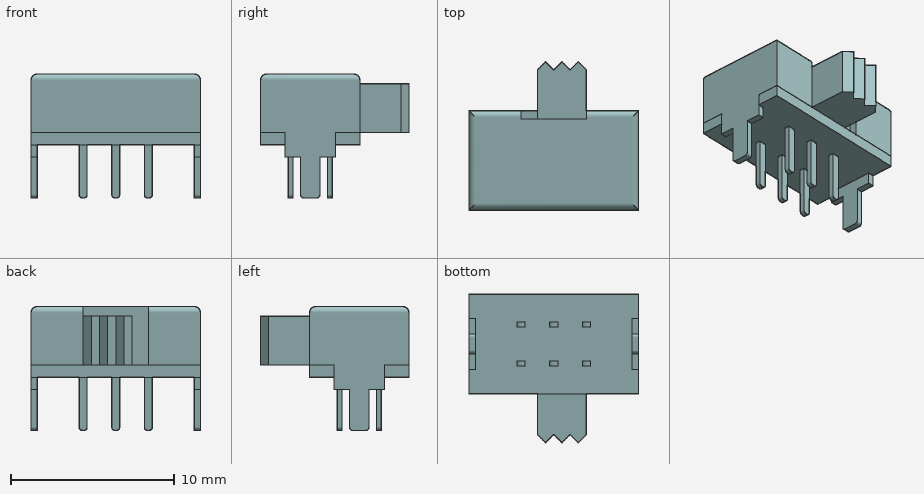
import cadquery as cq


body_length = 10.4
body_depth = 6.1
base_height = 0.75
housing_height = 3.6
top_edge_radius = 0.4

slot_width = 4.0
slot_depth = 0.5

slider_width = 3.0
slider_height = 3.0
slider_reach = 3.0
tooth_count = 3
tooth_pitch = slider_width / tooth_count
tooth_depth = tooth_pitch / 2

tab_thickness = 0.4
tab_shoulder_width = 3.1
tab_shoulder_drop = 0.75
tab_leg_width = 1.2

pin_width = 0.5
pin_thickness = 0.3
pin_pitch = 2.0
pin_row_spacing = 2.4
pins_per_row = 3

leg_length = 3.25
tip_radius = 0.2

housing_top = base_height + housing_height
back_wall_y = body_depth / 2
slot_floor_y = back_wall_y - slot_depth
slider_right_x = slot_width / 2
slider_tip_y = back_wall_y + slider_reach
end_sides = (-1, 1)


def block(size_x, size_y, bottom, top):
    """Block centred on the Z axis that spans the given heights."""
    return (
        cq.Workplane("XY")
        .workplane(offset=bottom)
        .rect(size_x, size_y)
        .extrude(top - bottom)
    )


def at_end(shape, side):
    """Move a tab-thick shape flush with one end face of the body."""
    return shape.translate((side * (body_length - tab_thickness) / 2, 0, 0))


def make_tab(side):
    """Stepped mounting tab: a wide shoulder with a narrow solder leg."""
    shoulder = block(tab_thickness, tab_shoulder_width, -tab_shoulder_drop, base_height)
    leg = block(tab_thickness, tab_leg_width, -leg_length, base_height)
    leg = leg.edges("|X and <Z").fillet(tip_radius)
    return at_end(shoulder.union(leg), side)


def make_housing():
    """Cover with rounded top edges, a slider slot and two mounting tabs."""
    cover = block(body_length, body_depth, base_height, housing_top)
    cover = cover.faces(">Z").edges().fillet(top_edge_radius)
    slot = block(slot_width, slot_depth, base_height, housing_top)
    cover = cover.cut(slot.translate((0, back_wall_y - slot_depth / 2, 0)))
    for side in end_sides:
        cover = cover.union(make_tab(side))
    return cover


def make_pin(x, y):
    """Flat contact pin with a rounded tip, hanging from the base."""
    pin = block(pin_width, pin_thickness, -leg_length, 0)
    pin = pin.edges("|Y and <Z").fillet(tip_radius)
    return pin.translate((x, y, 0))


def make_base():
    """Base plate, notched for the tabs, with two rows of contact pins."""
    base = block(body_length, body_depth, 0, base_height)
    for side in end_sides:
        notch = block(tab_thickness, tab_shoulder_width, 0, base_height)
        base = base.cut(at_end(notch, side))
    for row_y in (-pin_row_spacing / 2, pin_row_spacing / 2):
        for index in range(pins_per_row):
            pin_x = (index - (pins_per_row - 1) / 2) * pin_pitch
            base = base.union(make_pin(pin_x, row_y))
    return base


def make_slider():
    """Slider at the +X end of its slot, with a saw-toothed grip."""
    left_x = slider_right_x - slider_width
    valley_y = slider_tip_y - tooth_depth
    outline = (
        cq.Workplane("XY")
        .workplane(offset=base_height)
        .moveTo(slider_right_x, slot_floor_y)
        .lineTo(left_x, slot_floor_y)
        .lineTo(left_x, valley_y)
    )
    for index in range(tooth_count):
        tooth_x = left_x + index * tooth_pitch
        outline = outline.lineTo(tooth_x + tooth_pitch / 2, slider_tip_y)
        outline = outline.lineTo(tooth_x + tooth_pitch, valley_y)
    return outline.close().extrude(slider_height)


housing = make_housing()
base = make_base()
slider = make_slider()

result = cq.Compound.makeCompound([housing.val(), base.val(), slider.val()])